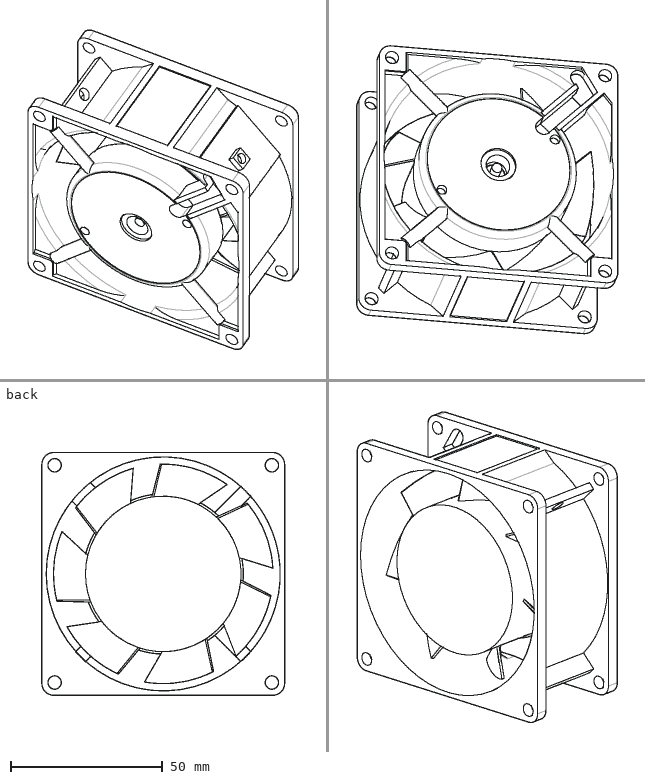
import cadquery as cq
import math

side = 80.0
depth = 39.2
corner_radius = 4.0
front_flange = 4.4
back_flange = 4.1
mount_pitch = 71.5
mount_hole_radius = 2.2

front_y = -depth / 2
back_y = depth / 2
front_flange_back = front_y + front_flange
back_flange_front = back_y - back_flange

duct_outer_radius = 39.7
bore_radius = 38.5
mouth_radius = 2.2

recess_half = 38.1
recess_depth = 1.5
recess_floor = front_y + recess_depth
pad_start = 31.0
pad_foot = 0.8
pad_rounding = 0.8
pad_centre = 48.0

panel_half_top = 11.8
panel_half_base = 15.9
label_half = 9.5
label_depth = 0.5

rib_width = 2.6
rib_reach = 46.0
rib_screw_radius = 2.1

seat_distance = 39.0
seat_half_width = 11.1
boss_width = 5.1
boss_height = 2.3
boss_hole_radius = 1.7

cup_radius = 26.4
cup_back = -8.0
cup_rounding = 2.0

spoke_width = 4.7
spoke_front = front_y
spoke_back = -16.8
arm_back = -12.8

channel_arm_width = 8.6
channel_width = 5.2
channel_floor = -14.3
channel_start = 21.3
channel_reach = 44.3
exit_radius = 2.5
exit_offset = 2.1
corner_edge_start = (28.0, recess_half)
corner_edge_end = (33.1, 29.4)
corner_outer_start = (35.3, 29.4)
corner_outer_end = (recess_half, 25.8)

cover_radius = 23.9
cover_thickness = 6.4
cover_sink = 0.2
cover_counterbore_radius = 5.8
cover_counterbore_depth = 1.0
cover_pin_hole_radius = 1.6
cover_pin_circle = 21.9
cover_pin_angle = 30.0
cover_front = front_y + cover_sink
cover_back = cover_front + cover_thickness
pin_hole_depth = 2.4

bearing_radius = 3.9
bearing_chamfer = 0.3
bearing_front = -11.2
shaft_radius = 1.7
shaft_front = -16.8
shaft_back = 8.0

hub_radius = 25.6
hub_front = -7.2
hub_back = 16.0
blade_count = 7
blade_tip_radius = 36.2
blade_thickness = 0.8
blade_front = -6.8
blade_back = 10.4
blade_turn = -17.0
blade_root_height = 22.4
blade_end_height = 36.8
root_lead = -1.7
root_trail = 10.6
end_lead = -13.4
end_trail = 11.4


def sketch_plane(y):
    """XZ sketch plane at y; extruding goes toward the front."""
    return cq.Workplane("XZ", origin=(0, y, 0))


def disc(radius, y_front, y_back):
    return sketch_plane(y_back).circle(radius).extrude(y_back - y_front)


def square(width, y_front, y_back):
    return sketch_plane(y_back).rect(width, width).extrude(y_back - y_front)


def prism(points, y_front, y_back):
    return sketch_plane(y_back).polyline(points).close().extrude(y_back - y_front)


def turned(body, angle):
    """Copy turned about the fan axis; positive is clockwise seen from the front."""
    return body.rotate((0, 0, 0), (0, 1, 0), angle)


def diagonal_bar(start, end, width, y_front, y_back):
    """Bar running outward along the upper right 45 degree diagonal."""
    bar = sketch_plane(y_back).center((start + end) / 2, 0).rect(end - start, width)
    return turned(bar.extrude(y_back - y_front), -45)


def flange(y_front, y_back):
    plate = square(side, y_front, y_back).edges("|Y").fillet(corner_radius)
    holes = sketch_plane(y_back).rect(mount_pitch, mount_pitch, forConstruction=True).vertices()
    return plate.cut(holes.circle(mount_hole_radius).extrude(y_back - y_front))


def label_panel():
    """Trapezoidal pad on top of the duct."""
    base = math.sqrt(duct_outer_radius**2 - panel_half_base**2)
    top = side / 2
    outline = [
        (-panel_half_base, base), (-panel_half_top, top), (panel_half_top, top), (panel_half_base, base),
    ]
    return prism(outline, front_flange_back, back_flange_front)


def label_recess():
    top = side / 2
    label = sketch_plane(back_flange_front).center(0, top - label_depth / 2).rect(2 * label_half, label_depth)
    return label.extrude(back_flange_front - front_flange_back)


def rib():
    return diagonal_bar(bore_radius, rib_reach, rib_width, front_flange_back, back_flange_front)


def rib_screw_hole():
    hole_distance = (duct_outer_radius + rib_reach) / 2
    hole = cq.Workplane("XY").center(hole_distance, 0).circle(rib_screw_radius)
    return turned(hole.extrude(rib_width, both=True), -45)


def cable_boss():
    boss = cq.Workplane("YZ").rect(boss_width, boss_width).circle(boss_hole_radius)
    boss = boss.extrude(boss_height).translate((seat_distance, 0, 0))
    return turned(boss, -45)


def duct():
    wall = disc(duct_outer_radius, recess_floor, back_y)
    seat = diagonal_bar(0, seat_distance, 2 * seat_half_width, front_flange_back, back_flange_front)
    outside = diagonal_bar(seat_distance, side, 2 * seat_half_width, front_flange_back, back_flange_front)
    wall = wall.union(seat).cut(outside).union(cable_boss())
    for angle in (0, 180):
        wall = wall.union(turned(label_panel(), angle)).cut(turned(label_recess(), angle))
    for angle in (90, 180, 270):
        wall = wall.union(turned(rib(), angle))
    return wall.cut(turned(rib_screw_hole(), -90))


def corner_pad():
    """Upper right pad; it overshoots the flange corner, where only the recess matters."""
    centre = pad_centre
    foot_start = pad_start - pad_foot
    block = square(2 * (centre - pad_start), front_y, recess_floor)
    foot_width = 2 * (centre - foot_start)
    foot = sketch_plane(recess_floor).rect(foot_width, foot_width).extrude(pad_foot, taper=45)
    pad = block.edges("|Y").fillet(pad_rounding).union(foot)
    return pad.translate((centre, 0, centre))


def flange_recess():
    recess = square(2 * recess_half, front_y, recess_floor)
    for angle in (90, 180, 270):
        recess = recess.cut(turned(corner_pad(), angle))
    corner = [corner_edge_start, corner_edge_end, corner_outer_start, corner_outer_end, (side, side)]
    return recess.cut(prism(corner, front_y, recess_floor))


def duct_mouth():
    """Flared ring between the recess floor and the bore, kept inside the recess outline."""
    outer = bore_radius + mouth_radius
    throat = recess_floor + mouth_radius
    middle = mouth_radius * (1 - math.sqrt(0.5))
    arc_point = (bore_radius + middle, recess_floor + middle)
    profile = (
        cq.Workplane("XY").moveTo(0, recess_floor).lineTo(outer, recess_floor)
        .threePointArc(arc_point, (bore_radius, throat))
        .lineTo(0, throat).close()
    )
    ring = profile.revolve(360, (0, 0, 0), (0, 1, 0))
    return ring.intersect(square(2 * recess_half, recess_floor, throat))


def spoke():
    """Arm with a half-round front and flat sides."""
    radius = spoke_width / 2
    start = cover_radius
    section = (
        cq.Workplane("YZ", origin=(start, 0, 0)).moveTo(spoke_back, -radius)
        .lineTo(spoke_front + radius, -radius)
        .threePointArc((spoke_front, 0), (spoke_front + radius, radius)).lineTo(spoke_back, radius).close()
    )
    end = math.sqrt(2) * pad_start
    return turned(section.extrude(end - start), -45)


def motor_cup():
    """Rounded cup with a seat for the cover and a pocket for the bearing."""
    cup = disc(cup_radius, front_y, cup_back).faces("<Y").edges().fillet(cup_rounding)
    cup = cup.cut(disc(cover_radius, front_y, cover_back))
    return cup.cut(disc(bearing_radius, cover_back, cup_back))


def channel_arm():
    """Wide arm for the cable channel: deep inside the duct, only flange deep outside it."""
    inner = diagonal_bar(cup_radius - cup_rounding, seat_distance, channel_arm_width, front_y, arm_back)
    arm_end = math.hypot(*corner_outer_start)
    outer = diagonal_bar(seat_distance, arm_end, channel_arm_width, front_y, front_flange_back)
    return inner.union(outer)


def cable_channel():
    """Channel running from its rounded end near the hub out to the cable exit."""
    offset = channel_start * math.sqrt(0.5)
    round_end = disc(channel_width / 2, front_y, channel_floor).translate((offset, 0, offset))
    run = diagonal_bar(channel_start, channel_reach, channel_width, front_y, channel_floor)
    return run.union(round_end)


def cable_exit():
    """Round-ended opening through the front flange, lying along the cut corner of the recess."""
    run_x = corner_edge_end[0] - corner_edge_start[0]
    run_z = corner_edge_end[1] - corner_edge_start[1]
    length = math.hypot(run_x, run_z)
    straight = sketch_plane(front_flange_back).center((exit_offset + length) / 2, -exit_radius)
    straight = straight.rect(length - exit_offset, 2 * exit_radius).extrude(front_flange)
    round_end = disc(exit_radius, front_y, front_flange_back).translate((exit_offset, 0, -exit_radius))
    opening = straight.union(round_end)
    opening = turned(opening, -math.degrees(math.atan2(run_z, run_x)))
    opening = opening.translate((corner_edge_start[0], 0, corner_edge_start[1]))
    shift = (side - channel_width) / 2 * math.sqrt(0.5)
    allowed = diagonal_bar(seat_distance, side, side, front_y, front_flange_back)
    return opening.intersect(allowed.translate((-shift, 0, shift)))


def housing_body():
    frame = flange(front_y, front_flange_back).union(flange(back_flange_front, back_y)).union(duct())
    frame = frame.cut(flange_recess()).cut(duct_mouth()).cut(disc(bore_radius, front_y, back_y))
    for angle in (90, 180, 270):
        frame = frame.union(turned(spoke(), angle))
    frame = frame.union(channel_arm())
    frame = frame.cut(disc(cover_radius, front_y, cup_back)).union(motor_cup())
    return frame.cut(cable_channel()).cut(cable_exit())


def cover_body():
    """Motor cover with a counterbored centre hole, two blind holes and the end of the channel."""
    cover = disc(cover_radius, cover_front, cover_back).cut(disc(bearing_radius, cover_front, cover_back))
    cover = cover.cut(disc(cover_counterbore_radius, cover_front, cover_front + cover_counterbore_depth))
    blind_holes = sketch_plane(cover_front + pin_hole_depth)
    blind_holes = blind_holes.polarArray(cover_pin_circle, cover_pin_angle, 360, 2)
    cover = cover.cut(blind_holes.circle(cover_pin_hole_radius).extrude(pin_hole_depth))
    return cover.cut(cable_channel())


def bearing_body():
    ring = disc(bearing_radius, bearing_front, cup_back).faces("<Y").edges().chamfer(bearing_chamfer)
    return ring.cut(disc(shaft_radius, bearing_front, cup_back))


def blade_section(lead, trail):
    """Corners of a slanted strip running from the front edge to the back edge."""
    run = trail - lead
    rise = blade_back - blade_front
    length = math.hypot(run, rise)
    dx = blade_thickness / 2 * rise / length
    dy = blade_thickness / 2 * run / length
    return [
        (lead - dx, blade_front + dy), (trail - dx, blade_back + dy),
        (trail + dx, blade_back - dy), (lead + dx, blade_front - dy),
    ]


def blade():
    """Pitched sheet, ruled between a section inside the hub and one beyond the tip."""
    sheet = (
        cq.Workplane("XY").workplane(offset=blade_root_height)
        .polyline(blade_section(root_lead, root_trail)).close()
        .workplane(offset=blade_end_height - blade_root_height)
        .polyline(blade_section(end_lead, end_trail)).close().loft(ruled=True)
    )
    return sheet.intersect(disc(blade_tip_radius, front_y, back_y))


def impeller_body():
    impeller = disc(hub_radius, hub_front, hub_back)
    for index in range(blade_count):
        impeller = impeller.union(turned(blade(), blade_turn + index * 360 / blade_count))
    return impeller.cut(disc(shaft_radius, hub_front, shaft_back))


housing = housing_body()
cover = cover_body()
bearing = bearing_body()
shaft = disc(shaft_radius, shaft_front, shaft_back)
impeller = impeller_body()

result = cq.Compound.makeCompound([
    housing.val(), cover.val(), bearing.val(), shaft.val(), impeller.val(),
])